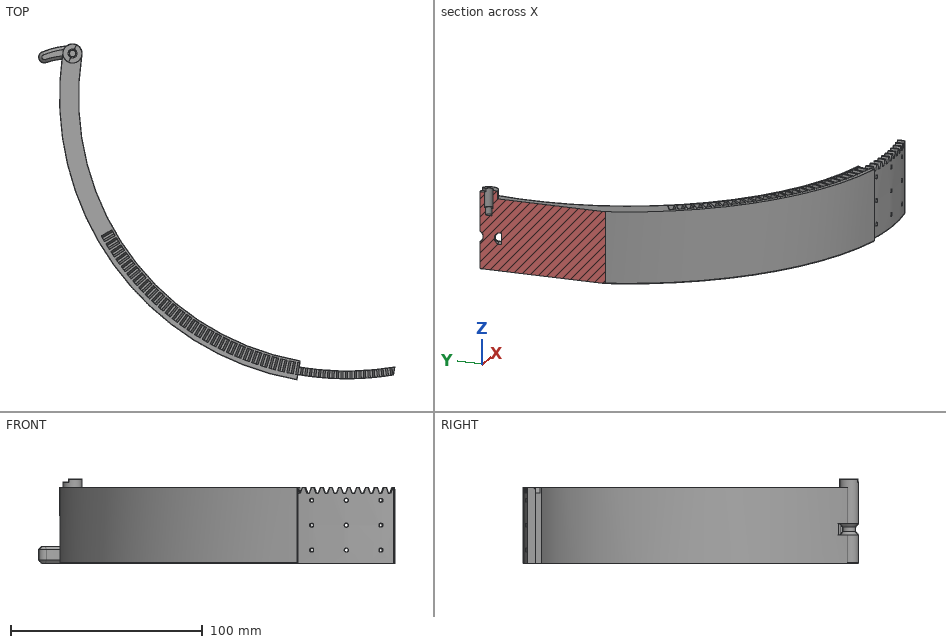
import math

import cadquery as cq

ARM_INNER_RADIUS = 140.0
ARM_OUTER_RADIUS = 150.0
ARM_MID_RADIUS = (ARM_INNER_RADIUS + ARM_OUTER_RADIUS) / 2
ARM_HEIGHT = 39.7
FOOT_CHAMFER = 0.5
HINGE_ANGLE = 171.0
ARM_END_ANGLE = 260.0
MINUS_Y_ANGLE = 270.0

STRIP_INNER_RADIUS = 143.2
STRIP_OUTER_RADIUS = 147.2
STRIP_REACH = 49.2
STRIP_ROOT_OVERLAP = 1.0

TOOTH_PITCH_ANGLE = 1.853
TOOTH_DEPTH = 3.0
TOOTH_FLANK_ANGLE = 20.0
TOOTH_GAP_BOTTOM = 1.25
TOOTH_GAP_TOP = TOOTH_GAP_BOTTOM + 2 * TOOTH_DEPTH * math.tan(math.radians(TOOTH_FLANK_ANGLE))
FIRST_GAP_ANGLE = 210.2
LAST_GAP_ANGLE = 280.6
POCKET_INNER_RADIUS = 141.0
POCKET_OUTER_RADIUS = 147.3

PIN_HOLE_DIAMETER = 2.0
PIN_HOLE_ANGLES = (262.8, 269.9, 277.0)
PIN_HOLE_HEIGHTS = (7.0, 20.0, 33.0)

BARREL_DIAMETER = 10.0
BARREL_RADIUS = BARREL_DIAMETER / 2
BARREL_HEIGHT = 44.0
HINGE_X = ARM_MID_RADIUS * math.cos(math.radians(HINGE_ANGLE))
HINGE_Y = ARM_MID_RADIUS * math.sin(math.radians(HINGE_ANGLE))
BORE_DIAMETER = 4.6
BORE_DEPTH = 10.0
PILOT_DIAMETER = 3.4
PILOT_DEPTH = 14.0
STEP_DROP = 1.5
STEP_ANGLE = 66.0

GROOVE_CENTRE_HEIGHT = 17.8
GROOVE_HALF_WIDTH = 3.0
GROOVE_FLOOR_HALF_WIDTH = 1.2
GROOVE_FLOOR_RADIUS = 3.4
GROOVE_OUTER_RADIUS = 7.0

FINGER_ROOT_WIDTH = 7.0
FINGER_TIP_WIDTH = 6.0
FINGER_HEIGHT = 9.0
FINGER_CHAMFER = 1.7
FINGER_BEND_RADIUS = 42.0
FINGER_LENGTH = 14.7
FINGER_ROOT_Y = HINGE_Y + 0.7


def polar(radius, angle):
    """Point at a radius from the Z axis and an angle in degrees."""
    return (radius * math.cos(math.radians(angle)), radius * math.sin(math.radians(angle)))


def ring_sector(inner, outer, start, end, height):
    """Upright curved wall between two radii and two angles."""
    middle = (start + end) / 2
    return (
        cq.Workplane("XY")
        .moveTo(*polar(inner, start))
        .threePointArc(polar(inner, middle), polar(inner, end))
        .lineTo(*polar(outer, end))
        .threePointArc(polar(outer, middle), polar(outer, start))
        .close()
        .extrude(height)
    )


def radial_plane(radius, angle, height):
    """Plane facing outward from the Z axis, with its local Y upward."""
    x, y = polar(radius, angle)
    outward = polar(1, angle)
    return cq.Plane(
        origin=(x, y, height),
        xDir=polar(1, angle + 90) + (0,),
        normal=outward + (0,),
    )


def make_strip():
    """Thin wall from just inside the arm to its slanted free end."""
    untrimmed_end_angle = LAST_GAP_ANGLE + 2 * TOOTH_PITCH_ANGLE
    strip = ring_sector(
        STRIP_INNER_RADIUS,
        STRIP_OUTER_RADIUS,
        ARM_END_ANGLE - STRIP_ROOT_OVERLAP,
        untrimmed_end_angle,
        ARM_HEIGHT,
    )
    trim_size = 2 * ARM_OUTER_RADIUS
    beyond_end = (
        cq.Workplane("XY")
        .box(trim_size, trim_size, trim_size, centered=(False, True, True))
        .translate((STRIP_REACH, 0, 0))
        .rotate((0, 0, 0), (0, 0, 1), ARM_END_ANGLE - MINUS_Y_ANGLE)
    )
    return strip.cut(beyond_end)


def tooth_gap(angle):
    """Tapered notch between two teeth, kept between the pocket walls."""
    return (
        cq.Workplane(radial_plane(POCKET_INNER_RADIUS, angle, ARM_HEIGHT))
        .polyline([
            (-TOOTH_GAP_TOP / 2, 0),
            (-TOOTH_GAP_BOTTOM / 2, -TOOTH_DEPTH),
            (TOOTH_GAP_BOTTOM / 2, -TOOTH_DEPTH),
            (TOOTH_GAP_TOP / 2, 0),
        ])
        .close()
        .extrude(POCKET_OUTER_RADIUS - POCKET_INNER_RADIUS)
        .val()
    )


def tooth_gaps():
    """Evenly spaced notches along the arm and the strip."""
    count = 1 + round((LAST_GAP_ANGLE - FIRST_GAP_ANGLE) / TOOTH_PITCH_ANGLE)
    return [tooth_gap(FIRST_GAP_ANGLE + i * TOOTH_PITCH_ANGLE) for i in range(count)]


def pin_holes():
    """Radial pins that cut the grid of holes."""
    length = ARM_OUTER_RADIUS - ARM_INNER_RADIUS
    return [
        cq.Workplane(radial_plane(ARM_INNER_RADIUS, angle, height))
        .circle(PIN_HOLE_DIAMETER / 2)
        .extrude(length)
        .val()
        for angle in PIN_HOLE_ANGLES
        for height in PIN_HOLE_HEIGHTS
    ]


def hinge_cylinder(diameter, bottom, top):
    """Upright cylinder on the hinge axis."""
    return (
        cq.Workplane("XY", origin=(HINGE_X, HINGE_Y, bottom))
        .circle(diameter / 2)
        .extrude(top - bottom)
    )


def barrel_step():
    """Block that lowers the half of the barrel top facing away from the arm's inside."""
    return (
        cq.Workplane("XY")
        .box(BARREL_DIAMETER, 2 * BARREL_DIAMETER, STEP_DROP, centered=(False, True, False))
        .rotate((0, 0, 0), (0, 0, 1), STEP_ANGLE + 90)
        .translate((HINGE_X, HINGE_Y, BARREL_HEIGHT - STEP_DROP))
    )


def barrel_groove():
    """Ring with sloping flanks, turned about the hinge axis."""
    return (
        cq.Workplane("XZ")
        .polyline([
            (GROOVE_FLOOR_RADIUS, -GROOVE_FLOOR_HALF_WIDTH),
            (BARREL_RADIUS, -GROOVE_HALF_WIDTH),
            (GROOVE_OUTER_RADIUS, -GROOVE_HALF_WIDTH),
            (GROOVE_OUTER_RADIUS, GROOVE_HALF_WIDTH),
            (BARREL_RADIUS, GROOVE_HALF_WIDTH),
            (GROOVE_FLOOR_RADIUS, GROOVE_FLOOR_HALF_WIDTH),
        ])
        .close()
        .revolve(360, (0, 0, 0), (0, 1, 0))
        .translate((HINGE_X, HINGE_Y, GROOVE_CENTRE_HEIGHT))
    )


def make_finger():
    """Bent, slightly tapered finger with a round tip and chamfered top and bottom rims."""
    bend_centre_y = FINGER_ROOT_Y - FINGER_BEND_RADIUS
    sweep = math.asin(FINGER_LENGTH / FINGER_BEND_RADIUS)

    def edge_point(side, fraction):
        """Point on the outer (+1) or inner (-1) edge, from the root (0) to the tip (1)."""
        width = FINGER_ROOT_WIDTH + fraction * (FINGER_TIP_WIDTH - FINGER_ROOT_WIDTH)
        radius = FINGER_BEND_RADIUS + side * width / 2
        angle = sweep * fraction
        return (HINGE_X - radius * math.sin(angle), bend_centre_y + radius * math.cos(angle))

    tip_radius = FINGER_TIP_WIDTH / 2
    tip_x = HINGE_X - FINGER_LENGTH - tip_radius * math.cos(sweep)
    tip_y = bend_centre_y + FINGER_BEND_RADIUS * math.cos(sweep) - tip_radius * math.sin(sweep)
    return (
        cq.Workplane("XY")
        .moveTo(*edge_point(1, 0))
        .threePointArc(edge_point(1, 0.5), edge_point(1, 1))
        .threePointArc((tip_x, tip_y), edge_point(-1, 1))
        .threePointArc(edge_point(-1, 0.5), edge_point(-1, 0))
        .close()
        .extrude(FINGER_HEIGHT)
        .faces("<Z or >Z")
        .chamfer(FINGER_CHAMFER)
    )


arm = ring_sector(ARM_INNER_RADIUS, ARM_OUTER_RADIUS, HINGE_ANGLE, ARM_END_ANGLE, ARM_HEIGHT)
outer_foot = cq.selectors.RadiusNthSelector(-1)
arm = arm.faces("<Z").edges("%CIRCLE").edges(outer_foot).chamfer(FOOT_CHAMFER)
toothed_arm = arm.union(make_strip()).val().cut(*tooth_gaps(), *pin_holes())

barrel = hinge_cylinder(BARREL_DIAMETER, 0, BARREL_HEIGHT).faces("<Z").chamfer(FOOT_CHAMFER)
barrel = barrel.cut(barrel_step())
hinged_arm = cq.Workplane(toothed_arm).union(barrel).cut(barrel_groove()).union(make_finger())

bore = hinge_cylinder(BORE_DIAMETER, BARREL_HEIGHT - BORE_DEPTH, BARREL_HEIGHT)
pilot = hinge_cylinder(PILOT_DIAMETER, BARREL_HEIGHT - PILOT_DEPTH, BARREL_HEIGHT)
result = hinged_arm.cut(bore).cut(pilot)